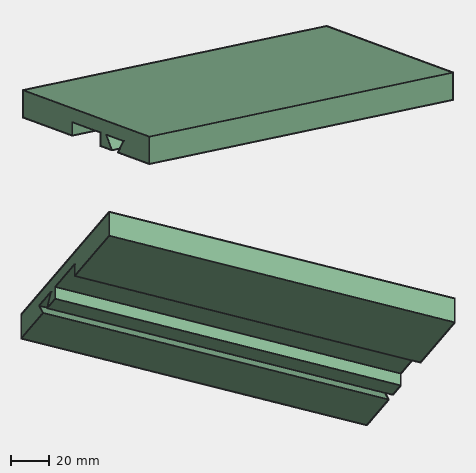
import cadquery as cq

width = 110.0
length = 200.0
thickness = 15.0

groove_depth = 7.5

channel_left = 43.0
channel_width = 24.5

dovetail_center = 80.0
dovetail_mouth_width = 5.0
dovetail_roof_width = 15.0


def lengthwise_groove(center_x, mouth_width, roof_width):
    """Full-length groove cutter, open at the bottom face of the plate."""
    profile = [
        (center_x - mouth_width / 2, 0),
        (center_x + mouth_width / 2, 0),
        (center_x + roof_width / 2, groove_depth),
        (center_x - roof_width / 2, groove_depth),
    ]
    return cq.Workplane("XZ").polyline(profile).close().extrude(-length)


plate = cq.Workplane("XY").box(width, length, thickness, centered=False)
channel = lengthwise_groove(channel_left + channel_width / 2, channel_width, channel_width)
dovetail = lengthwise_groove(dovetail_center, dovetail_mouth_width, dovetail_roof_width)

result = plate.cut(channel).cut(dovetail)